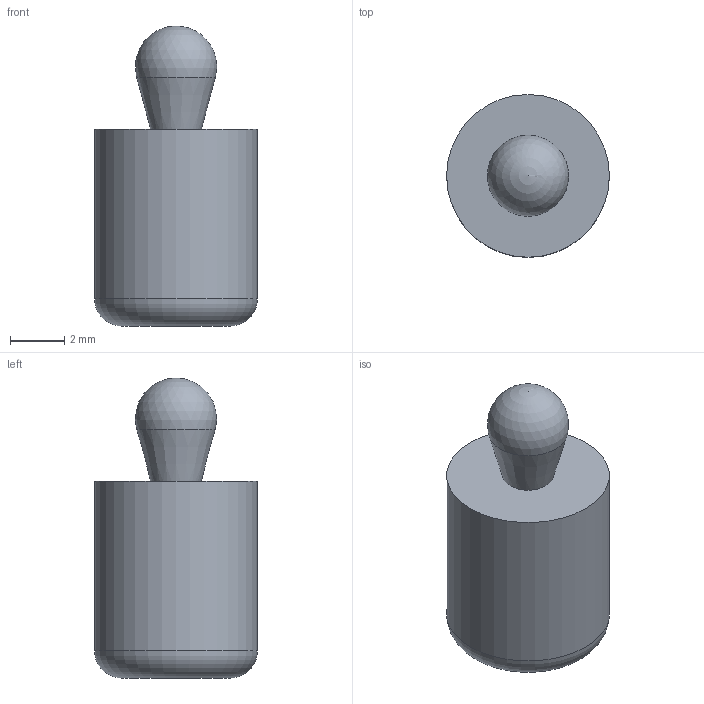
import cadquery as cq
import math

total_height = 11.06
body_diameter = 6.0
body_height = 7.25
bottom_fillet = 1.0
ball_diameter = 3.0
neck_half_angle = math.radians(15)

body_radius = body_diameter / 2
ball_radius = ball_diameter / 2
ball_center_z = total_height - ball_radius

tangent_radius = ball_radius * math.cos(neck_half_angle)
tangent_z = ball_center_z - ball_radius * math.sin(neck_half_angle)
neck_base_radius = tangent_radius - (tangent_z - body_height) * math.tan(neck_half_angle)


def make_body():
    """Cylindrical body standing on Z = 0 with a rounded bottom edge."""
    return (
        cq.Workplane("XY")
        .circle(body_radius)
        .extrude(body_height)
        .faces("<Z")
        .edges()
        .fillet(bottom_fillet)
    )


def make_pin():
    """Ball-ended pin: a neck widening upward into a spherical tip."""
    return (
        cq.Workplane("XZ")
        .moveTo(0, body_height)
        .lineTo(neck_base_radius, body_height)
        .lineTo(tangent_radius, tangent_z)
        .threePointArc((ball_radius, ball_center_z), (0, total_height))
        .close()
        .revolve(360, (0, 0, 0), (0, 1, 0))
    )


result = make_body().union(make_pin())